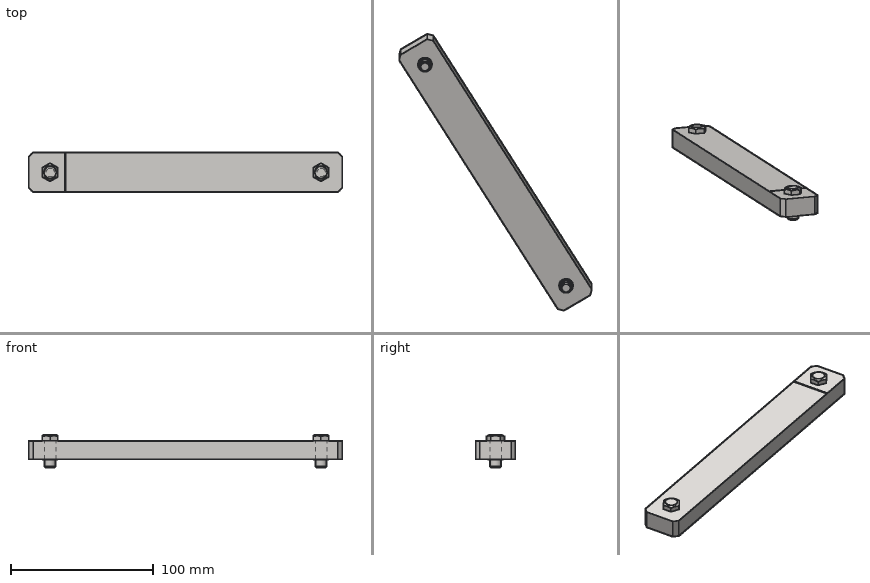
import cadquery as cq
import math

bar_length = 220.0
bar_width = 28.0
bar_height = 13.0
corner_chamfer = 3.0

groove_x = 25.5
groove_width = 0.7
groove_depth = 0.07

bolt_inset = 15.0
head_flats = 11.0
head_height = 4.2
head_top_diameter = 8.5
head_bevel_angle = 30.0
shank_diameter = 8.0
tip_diameter = 6.0
tip_length = 1.0
shank_protrusion = 6.0
collar_diameter = 10.0
collar_height = 0.5

bolt_positions = [bolt_inset, bar_length - bolt_inset]


def make_bar():
    """Bar with chamfered corners, a marking groove and one through hole per bolt."""
    bar = (
        cq.Workplane("XY")
        .box(bar_length, bar_width, bar_height, centered=(False, True, False))
        .edges("|Z")
        .chamfer(corner_chamfer)
    )
    groove = (
        cq.Workplane("XY", origin=(groove_x, 0, bar_height - groove_depth))
        .box(groove_width, bar_width, groove_depth, centered=(True, True, False))
    )
    holes = (
        cq.Workplane("XY")
        .pushPoints([(x, 0) for x in bolt_positions])
        .circle(shank_diameter / 2)
        .extrude(bar_height)
    )
    return bar.cut(groove).cut(holes)


def make_head():
    """Hexagonal head with points along Y and its top corners bevelled by a cone."""
    corner_diameter = head_flats / math.cos(math.radians(30))
    head = (
        cq.Workplane("XY", origin=(0, 0, bar_height))
        .polygon(6, corner_diameter)
        .extrude(head_height)
        .rotate((0, 0, 0), (0, 0, 1), 30)
    )
    corner_radius = corner_diameter / 2
    head_top = bar_height + head_height
    top_radius = head_top_diameter / 2
    bevel_drop = (corner_radius - top_radius) * math.tan(math.radians(head_bevel_angle))
    bevel_envelope = (
        cq.Workplane("XZ")
        .moveTo(0, bar_height)
        .lineTo(corner_radius, bar_height)
        .lineTo(corner_radius, head_top - bevel_drop)
        .lineTo(top_radius, head_top)
        .lineTo(0, head_top)
        .close()
        .revolve(360, (0, 0, 0), (0, 1, 0))
    )
    return head.intersect(bevel_envelope)


def make_bolt(x):
    """Bolt through the bar at x, with a thin collar under the bar and a tapered tip."""
    shank_radius = shank_diameter / 2
    shank = (
        cq.Workplane("XZ")
        .moveTo(0, bar_height)
        .lineTo(shank_radius, bar_height)
        .lineTo(shank_radius, tip_length - shank_protrusion)
        .lineTo(tip_diameter / 2, -shank_protrusion)
        .lineTo(0, -shank_protrusion)
        .close()
        .revolve(360, (0, 0, 0), (0, 1, 0))
    )
    collar = cq.Workplane("XY").circle(collar_diameter / 2).extrude(-collar_height)
    return make_head().union(shank).union(collar).translate((x, 0, 0))


bar = make_bar()
bolts = [make_bolt(x) for x in bolt_positions]

result = cq.Compound.makeCompound([bar.val(), *[bolt.val() for bolt in bolts]])